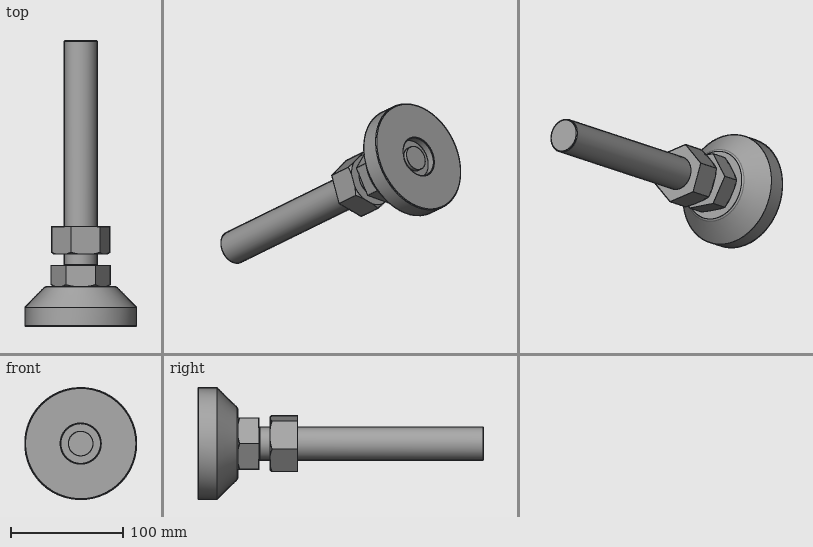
import cadquery as cq
import math

total_length = 255.0

pad_diameter = 100.0
pad_rim_height = 17.0
pad_height = 35.7
pad_shoulder_diameter = 65.3
pad_shoulder_height = 34.7
pad_top_diameter = 61.7
pad_edge_chamfer = 0.8
recess_diameter = 35.5
recess_depth = 7.6
recess_chamfer = 0.65

across_flats = 46.0
corner_diameter = across_flats / math.cos(math.pi / 6)
hex_face_diameter = 47.2
hex_chamfer_angle = 30.0

stud_head_height = 18.9
shank_diameter = 22.0
shank_tip_depth = 3.8

spindle_diameter = 29.8
spindle_chamfer = 0.8
spindle_start = pad_height + stud_head_height

nut_start = 64.5
nut_height = 24.5
nut_turn = 49.2


def cylinder(diameter, start, end):
    """Cylinder on the Y axis between two Y positions."""
    return cq.Workplane("XZ", origin=(0, start, 0)).circle(diameter / 2).extrude(start - end)


def hexagon(start, height):
    """Hexagonal prism with corners on +/-X and its lower (-Y) corners chamfered."""
    prism = cq.Workplane("XZ", origin=(0, start, 0)).polygon(6, corner_diameter).extrude(-height)
    face_radius = hex_face_diameter / 2
    corner_radius = corner_diameter / 2
    chamfer_height = (corner_radius - face_radius) * math.tan(math.radians(hex_chamfer_angle))
    envelope = (
        cq.Workplane("XY", origin=(0, start, 0))
        .moveTo(0, 0)
        .lineTo(face_radius, 0)
        .lineTo(corner_radius, chamfer_height)
        .lineTo(corner_radius, height)
        .lineTo(0, height)
        .close()
        .revolve(360, (0, 0), (0, 1))
    )
    return prism.intersect(envelope)


def make_pad():
    """Conical pad with a recess underneath and a through hole for the shank."""
    radius = pad_diameter / 2
    recess_radius = recess_diameter / 2
    hole_radius = shank_diameter / 2
    return (
        cq.Workplane("XY")
        .moveTo(hole_radius, recess_depth)
        .lineTo(recess_radius, recess_depth)
        .lineTo(recess_radius, recess_chamfer)
        .lineTo(recess_radius + recess_chamfer, 0)
        .lineTo(radius - pad_edge_chamfer, 0)
        .lineTo(radius, pad_edge_chamfer)
        .lineTo(radius, pad_rim_height)
        .lineTo(pad_shoulder_diameter / 2, pad_shoulder_height)
        .lineTo(pad_top_diameter / 2, pad_height)
        .lineTo(hole_radius, pad_height)
        .close()
        .revolve(360, (0, 0), (0, 1))
    )


def make_stud():
    """Hexagonal head resting on the pad, its shank ending inside the recess."""
    head = hexagon(pad_height, stud_head_height)
    return head.union(cylinder(shank_diameter, shank_tip_depth, pad_height))


def make_spindle():
    """Rod standing on the stud head, chamfered at both ends."""
    return cylinder(spindle_diameter, spindle_start, total_length).edges("%CIRCLE").chamfer(spindle_chamfer)


def make_nut():
    """Lock nut turned about the spindle, with a bore that fits it."""
    blank = hexagon(nut_start, nut_height).rotate((0, 0, 0), (0, 1, 0), -nut_turn)
    return blank.cut(cylinder(spindle_diameter, nut_start, nut_start + nut_height))


pad = make_pad()
stud = make_stud()
spindle = make_spindle()
nut = make_nut()

result = cq.Compound.makeCompound([pad.val(), stud.val(), spindle.val(), nut.val()])